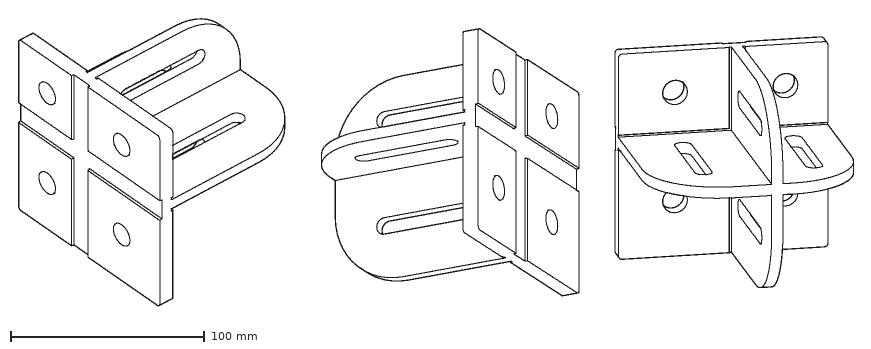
import cadquery as cq

side = 111.0
depth = 108.0
half = side / 2

plate_thickness = 9.0
plate_corner_radius = 2.0
hole_diameter = 13.0
hole_edge_offset = 22.5
hole_pitch = 58.5

flange_thickness = 6.0
flange_offset = 7.4
flange_corner_radius = 40.0

slot_width = 9.0
slot_length = 59.2
slot_start = 24.4

groove_depth = 1.4
groove_mouth = 12.9
groove_floor = 12.2

relief_width = 1.2
relief_depth = 0.9

hole_positions = [hole_edge_offset - half, hole_edge_offset + hole_pitch - half]


def make_plate():
    plate = cq.Workplane("XY").box(side, plate_thickness, side, centered=(True, False, True))
    plate = plate.edges("|Y").fillet(plate_corner_radius)
    holes = (
        cq.Workplane("XZ")
        .pushPoints([(x, -z) for x in hole_positions for z in hole_positions])
        .circle(hole_diameter / 2)
        .extrude(-plate_thickness)
    )
    return plate.cut(holes)


def make_flange():
    """Horizontal slotted flange with rounded rear corners, rooted at the relief floor."""
    root = plate_thickness - relief_depth
    flange = (
        cq.Workplane("XY")
        .box(side, depth - root, flange_thickness, centered=(True, False, True))
        .translate((0, root, 0))
        .edges("|Z and >Y")
        .fillet(flange_corner_radius)
    )
    slots = (
        cq.Workplane("XY")
        .pushPoints([(x, slot_start + slot_length / 2) for x in hole_positions])
        .slot2D(slot_length, slot_width, 90)
        .extrude(flange_thickness, both=True)
    )
    return flange.cut(slots).translate((0, 0, flange_offset))


def make_groove_cutter():
    """Front groove and the two relief grooves, running along X."""
    groove = (
        cq.Workplane("YZ")
        .polyline([
            (0, -groove_mouth / 2),
            (groove_depth, -groove_floor / 2),
            (groove_depth, groove_floor / 2),
            (0, groove_mouth / 2),
        ])
        .close()
        .extrude(half, both=True)
    )
    relief_y = plate_thickness - relief_depth / 2
    relief_z = (flange_thickness + relief_width) / 2
    reliefs = (
        cq.Workplane("YZ")
        .pushPoints([(relief_y, -relief_z), (relief_y, relief_z)])
        .rect(relief_depth, relief_width)
        .extrude(half, both=True)
    )
    return groove.union(reliefs).translate((0, 0, flange_offset))


def reflect_upright(shape):
    """Reflect a horizontal feature across the plane X = -Z, bringing +Z to -X and +X to -Z."""
    return shape.rotate((0, 0, 0), (0, 1, 0), -90).mirror("XY")


flange = make_flange()
cutter = make_groove_cutter()
plate = make_plate().cut(cutter).cut(reflect_upright(cutter))
result = plate.union(flange).union(reflect_upright(flange))